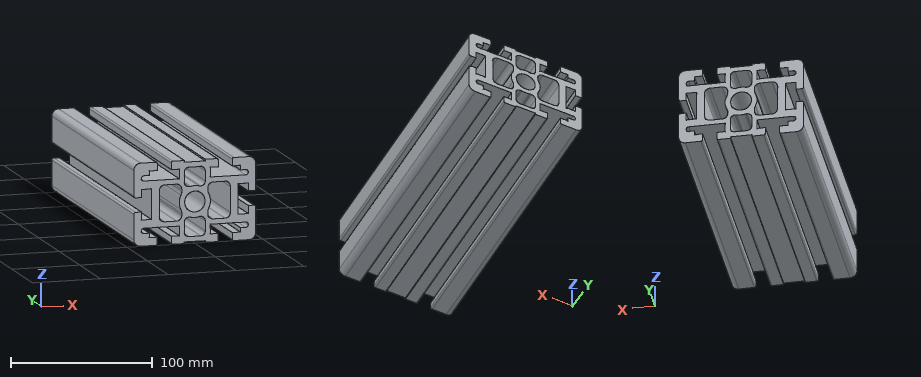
import cadquery as cq
import math

width = 90.0
height = 60.0
length = 200.0
corner_radius = 5.0

slot_spacing = width / 2
slot_opening = 10.2
lip_thickness = 6.0
lip_round = 1.2
cavity_width = 22.2
slot_depth = 13.0
groove_height = 3.8
groove_wall = 5.5

side_opening = 10.5
side_lip_thickness = 5.5
side_lip_round = 1.5
side_cavity_width = 22.0
side_slot_depth = 13.0

recess_width = 15.5
recess_depth = 1.2

bore_diameter = 15.0
tube_diameter = 23.0
chamber_width = 15.5
chamber_inner = 11.0
chamber_outer = 25.0
chamber_round = 3.5
chamber_blend = 3.0
side_chamber_inner = 9.5
side_chamber_outer = 26.2
side_chamber_height = 26.5
side_chamber_round = 4.0
side_chamber_blend = 6.0

slot_floor = height / 2 - slot_depth
side_slot_floor = width / 2 - side_slot_depth


def bar(x_start, x_end, z_start, z_end):
    """Full-length rectangular bar between the given limits, in either order."""
    section = cq.Workplane("XZ").center((x_start + x_end) / 2, (z_start + z_end) / 2)
    return section.rect(abs(x_end - x_start), abs(z_end - z_start)).extrude(length / 2, both=True)


def rod(diameter, x=0.0, z=0.0):
    """Full-length round bar."""
    return cq.Workplane("XZ").center(x, z).circle(diameter / 2).extrude(length / 2, both=True)


def round_edge(shape, x, z, radius):
    """Round the one lengthwise edge at the given place."""
    return shape.edges(cq.selectors.NearestToPointSelector((x, 0, z))).fillet(radius)


def cut_top_openings(block):
    """Cut the openings of the top and bottom slots and round their lips."""
    for x in (-slot_spacing / 2, slot_spacing / 2):
        lips = (x - slot_opening / 2, x + slot_opening / 2)
        for face, floor in ((height / 2, slot_floor), (-height / 2, -slot_floor)):
            block = block.cut(bar(*lips, floor, face))
            for lip in lips:
                block = round_edge(block, lip, face, lip_round)
    return block


def cut_side_openings(block):
    """Cut the openings of the side slots and round their lips."""
    lips = (-side_opening / 2, side_opening / 2)
    for face, floor in ((width / 2, side_slot_floor), (-width / 2, -side_slot_floor)):
        block = block.cut(bar(floor, face, *lips))
        for lip in lips:
            block = round_edge(block, face, lip, side_lip_round)
    return block


def four_ways(quarter):
    """Repeat a shape of the +X +Z quarter in all four quarters."""
    upper = quarter.union(quarter.mirror("YZ"))
    return upper.union(upper.mirror("XY"))


def top_cavities():
    """Wide inner parts of the top and bottom slots, with their round-ended grooves."""
    centre = slot_spacing / 2
    half = cavity_width / 2
    cavity = bar(centre - half, centre + half, slot_floor, height / 2 - lip_thickness)
    groove_end = width / 2 - groove_wall - groove_height / 2
    groove = bar(centre, groove_end, slot_floor, slot_floor + groove_height)
    groove_tip = rod(groove_height, groove_end, slot_floor + groove_height / 2)
    return four_ways(cavity.union(groove).union(groove_tip))


def side_cavities():
    """Wide inner parts of the side slots."""
    half = side_cavity_width / 2
    cavity = bar(side_slot_floor, width / 2 - side_lip_thickness, -half, half)
    return cavity.union(cavity.mirror("YZ"))


def recesses():
    """Shallow recesses in the top and bottom faces."""
    half = recess_width / 2
    recess = bar(-half, half, height / 2 - recess_depth, height / 2)
    return recess.union(recess.mirror("XY"))


def upper_chamber():
    """Hollow above the tube; the tube bulges into its floor."""
    half = chamber_width / 2
    chamber = bar(-half, half, chamber_inner, chamber_outer).edges("|Y").fillet(chamber_round)
    chamber = chamber.cut(rod(tube_diameter))
    bulge_half = math.sqrt((tube_diameter / 2) ** 2 - chamber_inner**2)
    for x in (-bulge_half, bulge_half):
        chamber = round_edge(chamber, x, chamber_inner, chamber_blend)
    return chamber


def side_chamber():
    """Hollow beside the tube on the +X side; the tube bulges into its inner wall."""
    half = side_chamber_height / 2
    chamber = bar(side_chamber_inner, side_chamber_outer, -half, half)
    chamber = chamber.edges("|Y").fillet(side_chamber_round).cut(rod(tube_diameter))
    bulge_half = math.sqrt((tube_diameter / 2) ** 2 - side_chamber_inner**2)
    for z in (-bulge_half, bulge_half):
        chamber = round_edge(chamber, side_chamber_inner, z, side_chamber_blend)
    return chamber


block = bar(-width / 2, width / 2, -height / 2, height / 2).edges("|Y").fillet(corner_radius)
profile = cut_side_openings(cut_top_openings(block))
profile = profile.cut(top_cavities()).cut(side_cavities()).cut(recesses())

above = upper_chamber()
beside = side_chamber()
for hollow in (above, above.mirror("XY"), beside, beside.mirror("YZ"), rod(bore_diameter)):
    profile = profile.cut(hollow)

result = profile